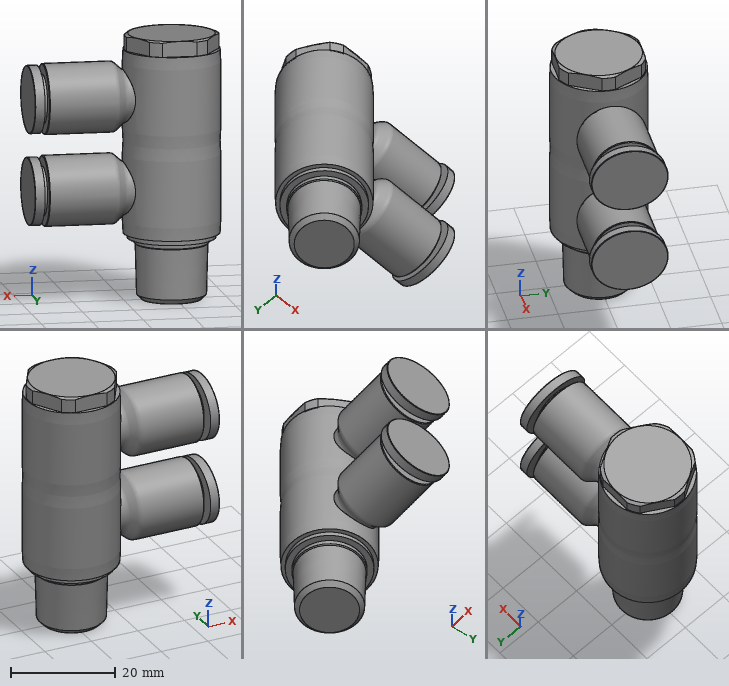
import cadquery as cq
import math

total_height = 52
overall_length = 37.6

tail_tip_radius = 5.75
tail_bottom_radius = 6.75
tail_top_radius = 7.0
tail_chamfer_height = 1.0
tail_top_z = 10.85
shoulder_bottom_z = 11.1
shoulder_radius = 7.25
collar_bottom_z = 12.0
collar_radius = 8.55

section_count = 2
section_height = 18.0
section_bottom_z = 13
section_diameter = 19.0
section_radius = section_diameter / 2
section_end_radius = 9.35
section_draft_height = 2.5
section_top_z = section_bottom_z + section_count * section_height

head_sides = 6
head_flat_distance = 17.0
head_corner_radius = 9.15
head_face_radius = 8.4
head_bevel_height = 0.25

outlet_reach = overall_length - section_radius
neck_radius = 5.1
socket_radius = 6.85
cone_start_x = 9.55
cone_end_x = 11.55
cone_blend_radius = 1.1
socket_end_x = 25.15
socket_edge_chamfer = 0.15
sleeve_radius = 4.8
button_start_x = 26.15
button_width = 15.1
button_height = 13.1
button_edge_chamfer = 0.1


def revolve_about_z(profile):
    """Turn a closed (radius, z) profile about the Z axis."""
    return cq.Workplane("XZ").polyline(profile).close().revolve(360, (0, 0), (0, 1))


def make_tail():
    return revolve_about_z([
        (0, 0),
        (tail_tip_radius, 0),
        (tail_bottom_radius, tail_chamfer_height),
        (tail_top_radius, tail_top_z),
        (shoulder_radius, shoulder_bottom_z),
        (shoulder_radius, collar_bottom_z),
        (collar_radius, collar_bottom_z),
        (collar_radius, section_bottom_z),
        (0, section_bottom_z),
    ])


def make_section(bottom_z):
    top_z = bottom_z + section_height
    return revolve_about_z([
        (0, bottom_z),
        (section_end_radius, bottom_z),
        (section_radius, bottom_z + section_draft_height),
        (section_radius, top_z - section_draft_height),
        (section_end_radius, top_z),
        (0, top_z),
    ])


def make_head():
    corner_distance = head_flat_distance / math.cos(math.pi / head_sides)
    head_height = total_height - section_top_z
    hexagon = (
        cq.Workplane("XY", origin=(0, 0, section_top_z))
        .polygon(head_sides, corner_distance)
        .extrude(head_height)
    )
    turned_envelope = revolve_about_z([
        (0, section_top_z),
        (head_corner_radius, section_top_z),
        (head_corner_radius, total_height - head_bevel_height),
        (head_face_radius, total_height),
        (0, total_height),
    ])
    return hexagon.intersect(turned_envelope)


def make_outlet(axis_z):
    socket = (
        cq.Workplane("XY", origin=(0, 0, axis_z))
        .polyline([
            (0, 0),
            (0, neck_radius),
            (cone_start_x, neck_radius),
            (cone_end_x, socket_radius),
            (socket_end_x, socket_radius),
            (socket_end_x, 0),
        ])
        .close()
        .revolve(360, (0, 0), (1, 0))
    )
    socket = socket.faces("%CONE").edges("%CIRCLE").fillet(cone_blend_radius)
    socket = socket.faces(">X").chamfer(socket_edge_chamfer)

    sleeve = (
        cq.Workplane("YZ", origin=(socket_end_x, 0, axis_z))
        .circle(sleeve_radius)
        .extrude(button_start_x - socket_end_x)
    )
    button = (
        cq.Workplane("YZ", origin=(button_start_x, 0, axis_z))
        .ellipse(button_width / 2, button_height / 2)
        .extrude(outlet_reach - button_start_x)
        .faces(">X")
        .chamfer(button_edge_chamfer)
    )
    return socket.union(sleeve).union(button)


result = make_tail().union(make_head())
for index in range(section_count):
    bottom_z = section_bottom_z + index * section_height
    result = result.union(make_section(bottom_z))
    result = result.union(make_outlet(bottom_z + section_height / 2))